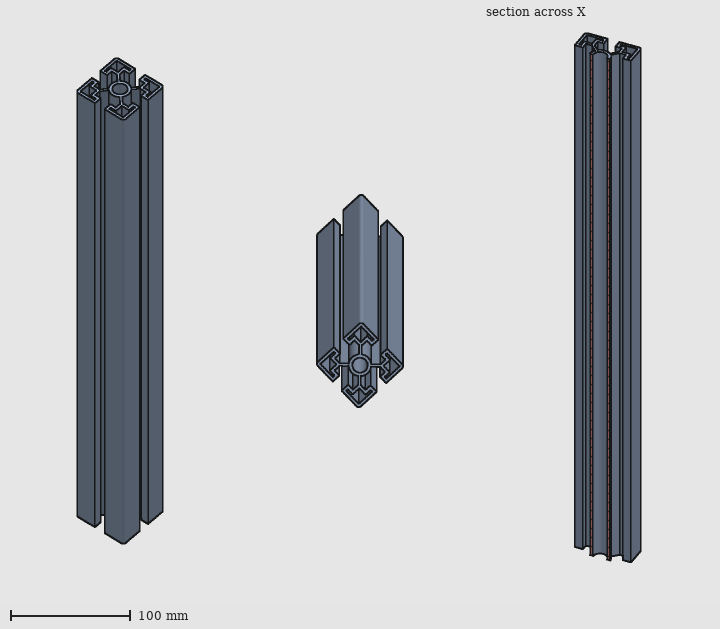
import cadquery as cq

length = 508.0
side = 52.5
corner_radius = 2.5

slot_opening = 10.5
slot_lip_depth = 7.5
channel_half_width = 11.0

wall = 2.8
cavity_arm_width = 1.8
rib_thickness = 2.3
bore_diameter = 12.5
hub_diameter = 19.0

half_side = side / 2
half_opening = slot_opening / 2
lip_inner_face = half_side - slot_lip_depth


def l_shaped_prism(inner, outer, arm_end, arm_inner):
    """Corner block in the +X +Y quadrant with one arm reaching towards each slot."""
    return (
        cq.Workplane("XY")
        .moveTo(inner, inner)
        .lineTo(arm_inner, inner)
        .lineTo(arm_inner, arm_end)
        .lineTo(outer, arm_end)
        .lineTo(outer, outer)
        .lineTo(arm_end, outer)
        .lineTo(arm_end, arm_inner)
        .lineTo(inner, arm_inner)
        .close()
        .extrude(length)
    )


def hollow_corner():
    """Rounded corner block with a cavity that follows its outline."""
    block = l_shaped_prism(channel_half_width, half_side, half_opening, lip_inner_face)
    block = block.edges("|Z and >X and >Y").fillet(corner_radius)
    cavity_outer = half_side - wall
    cavity = l_shaped_prism(
        channel_half_width + wall,
        cavity_outer,
        half_opening + wall,
        cavity_outer - cavity_arm_width,
    )
    return block.cut(cavity)


def diagonal_rib():
    """Flat rib from the hub axis into the wall of the corner block."""
    rib_reach = (channel_half_width + wall / 2) * 2**0.5
    return (
        cq.Workplane("XY")
        .rect(rib_reach, rib_thickness)
        .extrude(length)
        .translate((rib_reach / 2, 0, 0))
        .rotate((0, 0, 0), (0, 0, 1), 45)
    )


quadrant = hollow_corner().union(diagonal_rib())
result = cq.Workplane("XY").circle(hub_diameter / 2).extrude(length)
for quarter_turn in range(4):
    result = result.union(quadrant.rotate((0, 0, 0), (0, 0, 1), 90 * quarter_turn))

bore = cq.Workplane("XY").circle(bore_diameter / 2).extrude(length)
result = result.cut(bore)